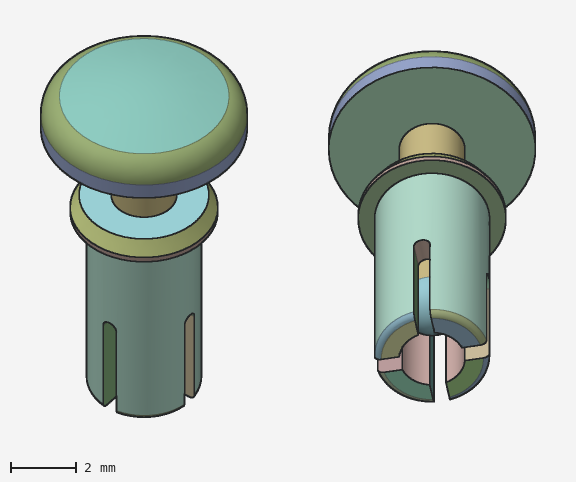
import cadquery as cq
import math

overall_height = 12.2

head_radius = 6.3 / 2
head_bottom_z = 10.49
head_rim_height = 0.55
head_corner_radius = 0.8
shank_radius = 2.0 / 2
pin_tip_z = 1.8

sleeve_radius = 3.5 / 2
sleeve_end_fillet = 0.2
bore_radius = shank_radius
flange_radius = 4.5 / 2
flange_top_radius = 1.98
flange_bottom_z = 7.02
flange_rim_height = 0.18
flange_top_z = 7.71
slot_width = 0.5
slot_top_z = 3.7


def make_pin():
    """Revolve the domed head and the shank with its hemispherical tip."""
    rim_top_z = head_bottom_z + head_rim_height
    corner_center_r = head_radius - head_corner_radius

    rise = overall_height - rim_top_z
    dome_radius = (corner_center_r**2 + rise**2 - head_corner_radius**2) / (2 * (rise - head_corner_radius))
    dome_center_z = overall_height - dome_radius
    dome_half_angle = math.asin(corner_center_r / (dome_radius - head_corner_radius))
    corner_mid_angle = (dome_half_angle + math.pi / 2) / 2

    def dome_point(angle):
        return (
            dome_radius * math.sin(angle),
            dome_center_z + dome_radius * math.cos(angle),
        )

    corner_mid = (
        corner_center_r + head_corner_radius * math.sin(corner_mid_angle),
        rim_top_z + head_corner_radius * math.cos(corner_mid_angle),
    )
    tip_center_z = pin_tip_z + shank_radius
    tip_mid = (
        shank_radius * math.sin(math.pi / 4),
        tip_center_z - shank_radius * math.cos(math.pi / 4),
    )

    return (
        cq.Workplane("XZ")
        .moveTo(0, overall_height)
        .threePointArc(dome_point(dome_half_angle / 2), dome_point(dome_half_angle))
        .threePointArc(corner_mid, (head_radius, rim_top_z))
        .lineTo(head_radius, head_bottom_z)
        .lineTo(shank_radius, head_bottom_z)
        .lineTo(shank_radius, tip_center_z)
        .threePointArc(tip_mid, (0, pin_tip_z))
        .close()
        .revolve(360, (0, 0), (0, 1))
    )


def make_slot(plane):
    """Round-topped slot cutter that crosses the whole sleeve and opens at its lower end."""
    half_width = slot_width / 2
    arc_base_z = slot_top_z - half_width
    return (
        cq.Workplane(plane)
        .moveTo(-half_width, 0)
        .lineTo(half_width, 0)
        .lineTo(half_width, arc_base_z)
        .threePointArc((0, slot_top_z), (-half_width, arc_base_z))
        .close()
        .extrude(sleeve_radius * 2, both=True)
    )


def make_sleeve():
    """Flanged tube with a through bore, split into four legs by two crossed slots."""
    tube = cq.Workplane("XY").circle(sleeve_radius).extrude(flange_bottom_z)
    tube = tube.faces("<Z").edges().fillet(sleeve_end_fillet)

    flange = (
        cq.Workplane("XZ")
        .moveTo(0, flange_bottom_z)
        .lineTo(flange_radius, flange_bottom_z)
        .lineTo(flange_radius, flange_bottom_z + flange_rim_height)
        .lineTo(flange_top_radius, flange_top_z)
        .lineTo(0, flange_top_z)
        .close()
        .revolve(360, (0, 0), (0, 1))
    )
    bore = cq.Workplane("XY").circle(bore_radius).extrude(flange_top_z)

    sleeve = tube.union(flange).cut(bore)
    for plane in ("XZ", "YZ"):
        sleeve = sleeve.cut(make_slot(plane))
    return sleeve


pin = make_pin()
sleeve = make_sleeve()

result = cq.Compound.makeCompound([pin.val(), sleeve.solids().val()])